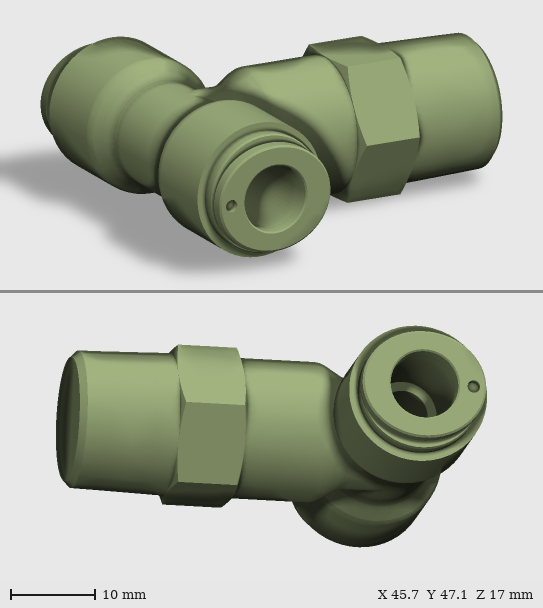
import cadquery as cq
import math


arm_radius = 16.7 / 2
waist_radius = 6.55
arm_end = 18.75
taper_start = 5.7
taper_end = 8.75
taper_blend_radius = 2.05
tube_bore_radius = 4.1
tube_stop = 9.33
flow_bore_radius = 6.0 / 2

ring_radius = 14.7 / 2
ring_end = 20.6
ring_bevel_length = 0.35
ring_bevel_depth = 0.15

collet_end = 22.85
collet_neck_radius = 4.8
flange_thickness = 1.55
flange_half_width = 7.5
flange_half_height = 6.6
flange_bevel = 0.25
collet_bore_bevel = 0.2
mark_radius = 0.75
mark_offset = 5.95
mark_depth = 0.95

overall_length = 47.1
nipple_end = overall_length - arm_radius
hex_across_flats = 17.0
hex_end = 26.8
hex_bevel_length = 0.45
thread_root_radius = hex_across_flats / 2
thread_tip_radius = 8.2
thread_bevel = 0.8

side_directions = [-1, 1]


def make_arm():
    """Solid of revolution along +X: waist, taper with rounded ends and port cylinder."""
    arm = (
        cq.Workplane("XY")
        .lineTo(0, waist_radius)
        .lineTo(taper_start, waist_radius)
        .lineTo(taper_end, arm_radius)
        .lineTo(arm_end, arm_radius)
        .lineTo(arm_end, 0)
        .close()
        .revolve(360, (0, 0, 0), (1, 0, 0))
    )
    return arm.faces("%CONE").edges().fillet(taper_blend_radius)


def x_cylinder(radius, start, end):
    return cq.Workplane("YZ").workplane(offset=start).circle(radius).extrude(end - start)


def make_housing():
    """Three equal arms, with a flow bore and stepped tube bores along X."""
    arm = make_arm()
    body = arm
    for angle in (90, 180):
        body = body.union(arm.rotate((0, 0, 0), (0, 0, 1), angle))
    body = body.cut(x_cylinder(flow_bore_radius, -arm_end, arm_end))
    tube_bore = x_cylinder(tube_bore_radius, tube_stop, arm_end)
    return body.cut(tube_bore).cut(tube_bore.mirror("YZ"))


def make_guide_ring(direction):
    """Bevelled ring on the end face of a push-in port."""
    ring = (
        cq.Workplane("XY")
        .moveTo(arm_end, tube_bore_radius)
        .lineTo(arm_end, ring_radius)
        .lineTo(ring_end - ring_bevel_length, ring_radius)
        .lineTo(ring_end, ring_radius - ring_bevel_depth)
        .lineTo(ring_end, tube_bore_radius)
        .close()
        .revolve(360, (0, 0, 0), (1, 0, 0))
    )
    return ring if direction > 0 else ring.mirror("YZ")


def make_flange():
    """Elliptical disc, lower than it is wide, bevelled in front."""
    flange = (
        cq.Workplane("YZ")
        .workplane(offset=collet_end - flange_thickness)
        .ellipse(flange_half_width, flange_half_height)
        .extrude(flange_thickness)
    )
    return flange.faces(">X").chamfer(flange_bevel)


def make_collet(direction):
    """Flanged collet with a tube bore and a round mark on the -Y side of its face."""
    neck = x_cylinder(collet_neck_radius, ring_end, collet_end - flange_thickness)
    mark = x_cylinder(mark_radius, collet_end - mark_depth, collet_end)
    mark = mark.translate((0, -mark_offset, 0))
    bore = x_cylinder(tube_bore_radius, ring_end, collet_end)
    collet = make_flange().union(neck).cut(bore)
    collet = collet.faces(">X").edges(cq.selectors.RadiusNthSelector(0)).chamfer(collet_bore_bevel)
    collet = collet.cut(mark)
    return collet if direction > 0 else collet.mirror("YZ")


def make_hexagon():
    """Hexagon along Y, with flats facing +Z and -Z and its corners bevelled at both ends."""
    corner_radius = hex_across_flats / 2 / math.cos(math.pi / 6)
    length = hex_end - arm_end
    hexagon = (
        cq.Workplane("XZ", origin=(0, arm_end, 0)).polygon(6, 2 * corner_radius).extrude(-length)
    )
    envelope = (
        cq.Workplane("XY")
        .moveTo(0, arm_end)
        .lineTo(hex_across_flats / 2, arm_end)
        .lineTo(corner_radius, arm_end + hex_bevel_length)
        .lineTo(corner_radius, hex_end - hex_bevel_length)
        .lineTo(hex_across_flats / 2, hex_end)
        .lineTo(0, hex_end)
        .close()
        .revolve(360, (0, 0, 0), (0, 1, 0))
    )
    return hexagon.intersect(envelope)


def make_nipple():
    """Hexagon with a tapered plain thread body, bevelled at its tip."""
    thread = (
        cq.Workplane("XY")
        .moveTo(0, hex_end)
        .lineTo(thread_root_radius, hex_end)
        .lineTo(thread_tip_radius, nipple_end - thread_bevel)
        .lineTo(thread_tip_radius - thread_bevel, nipple_end)
        .lineTo(0, nipple_end)
        .close()
        .revolve(360, (0, 0, 0), (0, 1, 0))
    )
    return make_hexagon().union(thread)


housing = make_housing()
nipple = make_nipple()
guide_rings = [make_guide_ring(direction).val() for direction in side_directions]
collets = [make_collet(direction).val() for direction in side_directions]

result = cq.Compound.makeCompound([housing.val(), nipple.val(), *guide_rings, *collets])